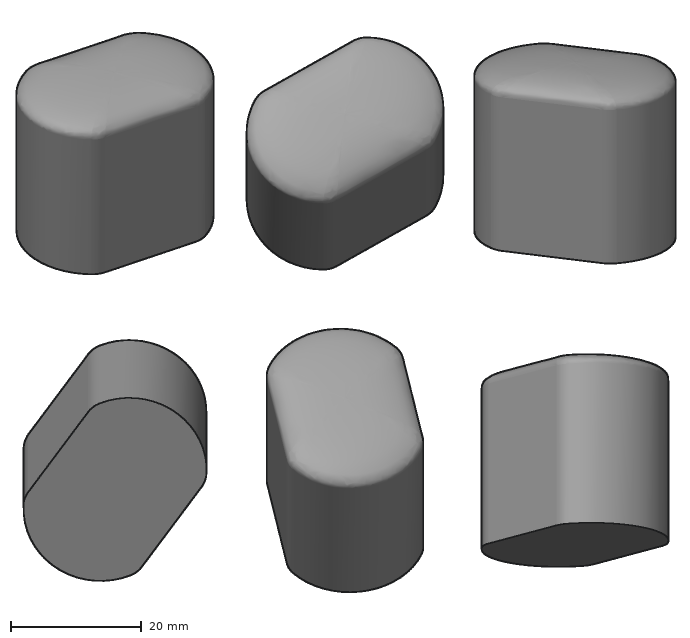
import cadquery as cq
import math

length = 31.2
width = 21.2
height = 28.0
dome_rise = 2.9
end_radius = 11.8
corner_radius = 4.0
dome_fullness = 2.5
dome_levels = 13
tip_scale = 0.01

wall_height = height - dome_rise

end_center_y = length / 2 - end_radius
corner_center_x = width / 2 - corner_radius
center_distance = end_radius - corner_radius
blend_angle = math.acos(corner_center_x / center_distance)
corner_center_y = end_center_y + center_distance * math.sin(blend_angle)


def corner_point(angle):
    """Point on the +X +Y corner arc at an angle from the X axis."""
    return (
        corner_center_x + corner_radius * math.cos(angle),
        corner_center_y + corner_radius * math.sin(angle),
    )


def outline(scale, z):
    """Rounded outline, scaled about the Z axis, at height z."""
    side_x, side_y = [scale * v for v in corner_point(0)]
    mid_x, mid_y = [scale * v for v in corner_point(blend_angle / 2)]
    end_x, end_y = [scale * v for v in corner_point(blend_angle)]
    tip_y = scale * length / 2
    return (
        cq.Workplane("XY", origin=(0, 0, z))
        .moveTo(side_x, -side_y)
        .lineTo(side_x, side_y)
        .threePointArc((mid_x, mid_y), (end_x, end_y))
        .threePointArc((0, tip_y), (-end_x, end_y))
        .threePointArc((-mid_x, mid_y), (-side_x, side_y))
        .lineTo(-side_x, -side_y)
        .threePointArc((-mid_x, -mid_y), (-end_x, -end_y))
        .threePointArc((0, -tip_y), (end_x, -end_y))
        .threePointArc((mid_x, -mid_y), (side_x, -side_y))
        .close()
    )


def dome():
    """Cap whose vertical sections are quarter superellipses meeting near the apex."""
    power = 2 / dome_fullness
    last_angle = math.acos(tip_scale ** (1 / power))
    sections = []
    for level in range(dome_levels):
        angle = last_angle * level / (dome_levels - 1)
        scale = math.cos(angle) ** power
        rise = dome_rise * (math.sin(angle) / math.sin(last_angle)) ** power
        sections.append(outline(scale, wall_height + rise).wires().val())
    return cq.Solid.makeLoft(sections)


body = outline(1, 0).extrude(wall_height)
result = body.union(cq.Workplane(obj=dome()))